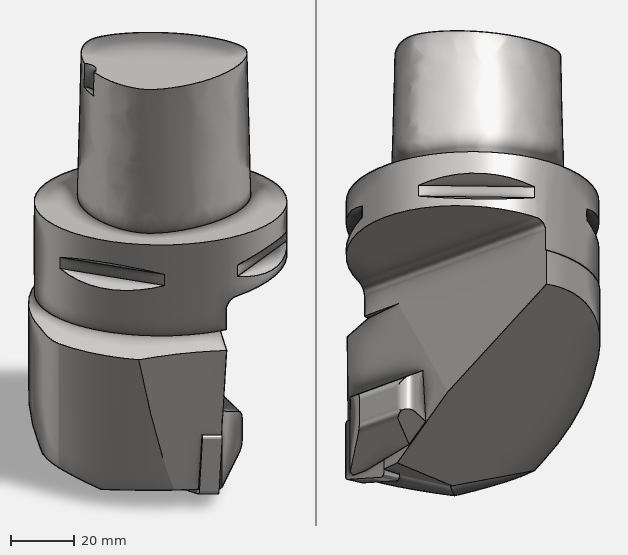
import cadquery as cq
import math


SHANK_HEIGHT = 48.0
SHANK_RADIUS = 27.5
SHANK_LOBE = 2.1
SHANK_TAPER = 1 / 40
SHANK_POINTS = 36
KEYWAY_RADIUS = 5.8
KEYWAY_INNER_Y = -22.0
KEYWAY_DEPTH = 8.0

FLANGE_RADIUS = 80.0 / 2
FLANGE_HEIGHT = 30.6
NOTCH_MID_Z = -11.8
NOTCH_FLOOR_WIDTH = 3.7
NOTCH_FLOOR_DISTANCE = 35.5
NOTCH_FLARE = 30.0
NOTCH_ANGLES = (45, 135, 225, 315)

HEAD_BOTTOM = -82.4
HEAD_RADIUS = 40.3
HEAD_FRONT_Y = -45.1
SHOULDER_ANGLE = 15.0
RELIEF_ANGLE = 30.0
RELIEF_START_Z = -42.0
BACK_Y = 8.1
FLAT_START_X = 11.8
FLAT_END_X = 17.8
HEAD_END_X = 53.8
SEAM_X = -24.8

SIDE_POINT = (50.1, 4.0, -33.5)
SIDE_NORMAL = (1.0, -0.11, 0.08)
FRONT_RELIEF_POINT = (FLAT_END_X, HEAD_FRONT_Y, -74.3)
FRONT_RELIEF_NORMAL = (-0.064, -0.32, -1.0)
TIP_RELIEF_POINT = (37.8, 1.3, HEAD_BOTTOM)
TIP_RELIEF_NORMAL = (0.25, -0.078, -1.0)

GULLET_OUTER_Z = -17.8
GULLET_INNER_Z = -20.5
GULLET_FILLET = 4.0

TIP = (54.9, 0.0, -79.7)
RAKE_NORMAL = (0.137, 1.0, -0.08)
INSERT_SIDE = 19.4
INSERT_THICKNESS = 6.4
INSERT_ANGLE = 100.0
INSERT_TILT = 15.0
INSERT_CORNER = 1.2

CLAMP_START_X = 14.6
CLAMP_LENGTH = 35.8
CLAMP_SECTION = [(1.3, -52.8), (1.3, -80.0), (15.0, -72.4), (15.0, -60.6)]
CLAMP_EDGE = 4.0
CLAMP_BEVEL_POINT = (14.6, 5.7, -73.5)
CLAMP_BEVEL_NORMAL = (-0.5, 0.36, -1.0)
CLAMP_END_POINT = (47.7, 4.8, -66.3)
CLAMP_END_NORMAL = (0.62, 0.78, 0.0)

REACH = 265.3


def beyond(point, normal):
    """Large block filling the space on the normal's side of a plane."""
    plane = cq.Plane(origin=point, normal=normal)
    return cq.Workplane(plane).rect(REACH, REACH).extrude(REACH)


def lobed_outline(radius):
    """Closed curve whose tangent lines lie at radius - lobe * sin(3 * angle) from the axis."""
    points = []
    for i in range(SHANK_POINTS):
        angle = 2 * math.pi * i / SHANK_POINTS
        support = radius - SHANK_LOBE * math.sin(3 * angle)
        slope = -3 * SHANK_LOBE * math.cos(3 * angle)
        x = support * math.cos(angle) - slope * math.sin(angle)
        y = support * math.sin(angle) + slope * math.cos(angle)
        points.append((x, y))
    return points


def make_shank():
    top_radius = SHANK_RADIUS - SHANK_HEIGHT * SHANK_TAPER
    shank = (
        cq.Workplane("XY")
        .spline(lobed_outline(SHANK_RADIUS), periodic=True).close()
        .workplane(offset=SHANK_HEIGHT)
        .spline(lobed_outline(top_radius), periodic=True).close()
        .loft(ruled=True)
    )
    keyway = (
        cq.Workplane("XY", origin=(0, KEYWAY_INNER_Y - KEYWAY_RADIUS, SHANK_HEIGHT))
        .circle(KEYWAY_RADIUS).extrude(-KEYWAY_DEPTH)
    )
    return shank.cut(keyway)


def make_notch(angle):
    """Flat-floored slot with flared walls, running along a chord of the flange."""
    depth = 2 * (FLANGE_RADIUS - NOTCH_FLOOR_DISTANCE)
    half_floor = NOTCH_FLOOR_WIDTH / 2
    half_mouth = half_floor + depth * math.tan(math.radians(NOTCH_FLARE))
    inner = NOTCH_FLOOR_DISTANCE
    outer = inner + depth
    return (
        cq.Workplane("XZ", origin=(0, 0, NOTCH_MID_Z))
        .polyline([(inner, -half_floor), (outer, -half_mouth), (outer, half_mouth), (inner, half_floor)])
        .close().extrude(FLANGE_RADIUS, both=True)
        .rotate((0, 0, 0), (0, 0, 1), angle)
    )


def make_flange():
    flange = cq.Workplane("XY").circle(FLANGE_RADIUS).extrude(-FLANGE_HEIGHT)
    for angle in NOTCH_ANGLES:
        flange = flange.cut(make_notch(angle))
    return flange


def make_head_blank():
    """Head outline extruded down from the flange, before its faces are cut."""
    seam_y = -math.sqrt(HEAD_RADIUS**2 - SEAM_X**2)
    return (
        cq.Workplane("XY", origin=(0, 0, -FLANGE_HEIGHT))
        .moveTo(0, HEAD_RADIUS)
        .threePointArc((-HEAD_RADIUS, 0), (SEAM_X, seam_y))
        .lineTo(-22.1, -33.5)
        .threePointArc((-6.1, -42.2), (FLAT_START_X, HEAD_FRONT_Y))
        .lineTo(FLAT_END_X, HEAD_FRONT_Y)
        .threePointArc((22.1, -44.7), (26.1, -43.5))
        .threePointArc((46.4, -25.2), (HEAD_END_X, -2.7))
        .lineTo(HEAD_END_X, HEAD_RADIUS)
        .close().extrude(HEAD_BOTTOM + FLANGE_HEIGHT)
    )


def make_shoulder():
    """Solid of revolution under the conical face that falls away from the flange edge."""
    outer = 2 * FLANGE_RADIUS
    drop = (outer - FLANGE_RADIUS) * math.tan(math.radians(SHOULDER_ANGLE))
    return (
        cq.Workplane("XZ")
        .polyline([(0, -FLANGE_HEIGHT), (FLANGE_RADIUS, -FLANGE_HEIGHT), (outer, -FLANGE_HEIGHT - drop),
                   (outer, HEAD_BOTTOM), (0, HEAD_BOTTOM)])
        .close().revolve(360, (0, 0, 0), (0, 1, 0))
    )


def make_head():
    relief = math.radians(RELIEF_ANGLE)
    head = make_head_blank().intersect(make_shoulder())
    head = head.cut(beyond((-HEAD_RADIUS, 0, RELIEF_START_Z), (-math.sin(relief), 0, -math.cos(relief))))
    head = head.cut(beyond(SIDE_POINT, SIDE_NORMAL))
    head = head.cut(beyond(FRONT_RELIEF_POINT, FRONT_RELIEF_NORMAL))
    head = head.cut(beyond(TIP_RELIEF_POINT, TIP_RELIEF_NORMAL))
    return head.cut(beyond(TIP, RAKE_NORMAL))


def make_gullet():
    """Open space behind the head, with a rounded inner corner under the flange."""
    far = 2 * FLANGE_RADIUS
    slope = (GULLET_OUTER_Z - GULLET_INNER_Z) / (FLANGE_RADIUS - BACK_Y)
    far_z = GULLET_INNER_Z + slope * (far - BACK_Y)
    return (
        cq.Workplane("YZ")
        .polyline([(BACK_Y, GULLET_INNER_Z), (far, far_z), (far, -REACH), (BACK_Y, -REACH)])
        .close().extrude(REACH, both=True)
        .edges(cq.selectors.NearestToPointSelector((0, BACK_Y, GULLET_INNER_Z))).fillet(GULLET_FILLET)
    )


def make_insert():
    normal = cq.Vector(*RAKE_NORMAL)
    tilt = math.radians(INSERT_TILT)
    run = cq.Vector(-math.cos(tilt), 0, -math.sin(tilt))
    along = run - normal * (run.dot(normal) / normal.dot(normal))
    plane = cq.Plane(origin=TIP, xDir=along.toTuple(), normal=RAKE_NORMAL)
    angle = math.radians(INSERT_ANGLE)
    side_x = INSERT_SIDE * math.cos(angle)
    side_y = INSERT_SIDE * math.sin(angle)
    return (
        cq.Workplane(plane)
        .polyline([(0, 0), (INSERT_SIDE, 0), (INSERT_SIDE + side_x, side_y), (side_x, side_y)])
        .close().extrude(-INSERT_THICKNESS)
        .edges(cq.selectors.ParallelDirSelector(plane.zDir)).fillet(INSERT_CORNER)
    )


def make_clamp():
    clamp = (
        cq.Workplane("YZ", origin=(CLAMP_START_X, 0, 0))
        .polyline(CLAMP_SECTION).close().extrude(CLAMP_LENGTH)
        .faces(">Y").edges().fillet(CLAMP_EDGE)
    )
    clamp = clamp.intersect(beyond(TIP, RAKE_NORMAL))
    clamp = clamp.cut(beyond(CLAMP_BEVEL_POINT, CLAMP_BEVEL_NORMAL))
    return clamp.cut(beyond(CLAMP_END_POINT, CLAMP_END_NORMAL))


insert = make_insert()
holder = make_flange().union(make_head()).cut(make_gullet())
holder = holder.union(make_shank()).union(make_clamp()).cut(insert)

result = cq.Compound.makeCompound([holder.val(), insert.val()])